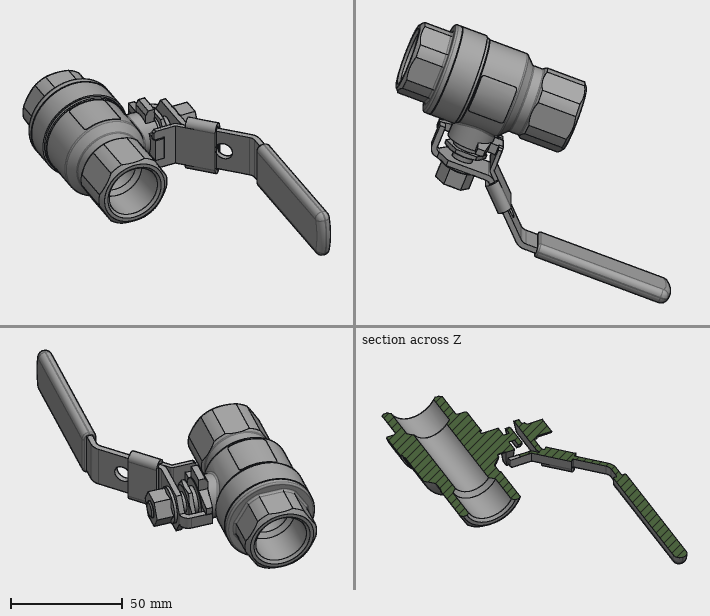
import cadquery as cq
import math


BODY_HALF_LENGTH = 40.0
HEX_FLATS = 32.0
HEX_CORNER_R = 17.0
HEX_FACE_R = 15.0
HEX_CHAMFER = 1.6
HEX_ROOT_FILLET = 1.0
FLANGE_R = 21.0
FLANGE_X0 = -25.0
FLANGE_X1 = -10.1
FLANGE_FILLET = 0.9
CAP_JOINT_X = -22.0
CAP_JOINT_WIDTH = 0.3
CAP_JOINT_DEPTH = 0.15
STEP_R = 20.2
STEP_X1 = -8.8
BARREL_R = 19.78
BARREL_X1 = 10.05
SHOULDER_FILLET = 1.1
NECK_R = 31.5 / 2
NECK_HEX_X = 19.1
NECK_FILLET = 0.8
BORE_R = 20.0 / 2
THREAD_R = 24.12 / 2
THREAD_DEPTH = 17.0
THREAD_MOUTH_R = 13.3

PANEL_X0 = -7.9
PANEL_X1 = 9.0
PANEL_Y0 = -9.3
PANEL_Y1 = 8.8
PANEL_RISE = 0.1
PANEL_CORNER_R = 1.2

BONNET_R = 20.0 / 2
BONNET_TOP = 27.7
BONNET_FILLET = 1.0
EAR_TOP = 27.3
EAR_BOTTOM = 22.9
GLAND_R = 12.7 / 2
GLAND_NUT_Y0 = 30.35
GLAND_NUT_Y1 = 32.8
GLAND_NUT_FLATS = 17.0
GLAND_NUT_BEVEL = 0.6
STEM_R = 9.5 / 2
STEM_THREAD_R = 8.04 / 2
STEM_TOP = 49.0
STEM_CHAMFER = 0.7
NUT_FLATS = 14.0
NUT_TOP = 48.1
NUT_FLANGE_R = 17.0 / 2
NUT_FLANGE_THICKNESS = 1.3
NUT_CONE_HEIGHT = 0.8

FRONT_EAR_HALF_WIDTH = 5.0
FRONT_EAR_REACH = 15.2
FRONT_EAR_CHAMFER_Y = 1.3
FRONT_EAR_CHAMFER_Z = 2.2
SIDE_EAR_REACH = 14.8
SIDE_EAR_HALF_WIDTH = 5.4
STOP_EAR_REACH = 15.4
STOP_EAR_TIP_WIDTH = 6.6
STOP_EAR_ROOT_WIDTH = 8.9
STOP_EAR_TIP_BOTTOM = 24.4

LEVER_THICKNESS = 2.6
LEVER_WIDTH = 20.4
LEVER_BOTTOM = 36.0
LEVER_TOP_FLAT_Y = 61.25
LEVER_SLOPE_OFFSET = 23.25
LEVER_LOW_BEND_R = 2.0
LEVER_HIGH_BEND_R = 4.0
LEG_X = -15.1
LEG_WIDTH = 6.0
LEG_BOTTOM = 24.2
LEG_BEND_R = 1.7
LEVER_TAPER_X0 = -11.0
LEVER_TAPER_X1 = -6.6
LOCK_HOLE_D = 8.0
LOCK_HOLE_X = 27.9

SLEEVE_CENTER_X = 20.4
SLEEVE_LENGTH = 14.2
SLEEVE_WIDTH = 26.6
SLEEVE_THICKNESS = 6.4
SLEEVE_CAVITY_WIDTH = 23.0
LATCH_X0 = 12.5
LATCH_THICKNESS = 1.9
LATCH_BEND_R = 2.0
LATCH_BOTTOM = 22.3
LATCH_TIP_CHAMFER = 1.0
LATCH_SLOT_CLEARANCE = 0.3

GRIP_X0 = 45.8
GRIP_X1 = 110.0
GRIP_SIDE_X1 = 107.9
GRIP_WIDTH = 23.0
GRIP_THICKNESS = 6.5
GRIP_CORNER_R = 3.6
GRIP_EDGE_R = 3.1
GRIP_MOUTH_FILLET = 0.8


def disc(radius, y0, y1):
    """Cylinder on the stem axis between two heights."""
    return cq.Workplane("XZ", origin=(0, y0, 0)).circle(radius).extrude(y0 - y1)


def hexagon_plate(flats, y0, y1):
    """Hexagon on the stem axis with corners on the X axis."""
    corner_diameter = flats / math.cos(math.pi / 6)
    return cq.Workplane("XZ", origin=(0, y0, 0)).polygon(6, corner_diameter).extrude(y0 - y1)


def turned_about_y(points):
    """Solid of revolution on the stem axis from (radius, height) points."""
    return cq.Workplane("XY").polyline(points).close().revolve(360, (0, 0), (0, 1))


def turned_about_x(points):
    """Solid of revolution on the bore axis from (x, radius) points."""
    return cq.Workplane("XY").polyline(points).close().revolve(360, (0, 0), (1, 0))


def rings_at(x):
    """Selector for edges around the bore axis that lie in the plane at x."""
    near = 0.1
    reach = FLANGE_R - FLANGE_FILLET - near
    return cq.selectors.BoxSelector((x - near, -reach, -reach), (x + near, reach, reach))


def slab(points, width):
    """XY outline extruded symmetrically about Z = 0."""
    return cq.Workplane("XY").polyline(points).close().extrude(width / 2, both=True)


def hex_end(x0, x1, chamfer_x0):
    """Turned hexagonal pipe end; chamfer_x0 also chamfers the x0 end down to the neck."""
    profile = [(x0, 0)]
    if chamfer_x0:
        profile += [(x0, NECK_R), (x0 + HEX_CORNER_R - NECK_R, HEX_CORNER_R)]
    else:
        profile += [(x0, HEX_CORNER_R)]
    profile += [(x1 - HEX_CHAMFER, HEX_CORNER_R), (x1, HEX_FACE_R), (x1, 0)]
    turned = turned_about_x(profile)
    corner_diameter = HEX_FLATS / math.cos(math.pi / 6)
    prism = cq.Workplane("YZ", origin=(x0, 0, 0)).polygon(6, corner_diameter).extrude(x1 - x0)
    return turned.intersect(prism)


def make_barrel():
    """Barrel, shoulder and neck with the stem bonnet blended in."""
    shoulder_x1 = BARREL_X1 + BARREL_R - NECK_R
    barrel = turned_about_x([
        (FLANGE_X0, 0),
        (FLANGE_X0, BARREL_R),
        (BARREL_X1, BARREL_R),
        (shoulder_x1, NECK_R),
        (NECK_HEX_X, NECK_R),
        (NECK_HEX_X, 0),
    ])
    barrel = barrel.edges(rings_at(BARREL_X1)).fillet(SHOULDER_FILLET)
    barrel = barrel.edges(rings_at(shoulder_x1)).fillet(NECK_FILLET)
    barrel = barrel.union(disc(BONNET_R, 0, BONNET_TOP))
    margin = 0.2
    reach = BONNET_R + margin
    bonnet_root = cq.selectors.BoxSelector(
        (-reach, BONNET_R, -reach),
        (reach, BARREL_R + margin, reach),
        boundingbox=True,
    )
    return barrel.edges(bonnet_root).fillet(BONNET_FILLET)


def make_body():
    """Pipe body with screwed cap flange and both hexagonal ends."""
    flange = turned_about_x([
        (FLANGE_X0, 0),
        (FLANGE_X0, FLANGE_R),
        (FLANGE_X1, FLANGE_R),
        (FLANGE_X1, STEP_R),
        (STEP_X1, STEP_R),
        (STEP_X1 + STEP_R - BARREL_R, BARREL_R),
        (STEP_X1 + STEP_R - BARREL_R, 0),
    ])
    flange = flange.faces("<X").edges().fillet(FLANGE_FILLET)
    joint = (
        cq.Workplane("YZ", origin=(CAP_JOINT_X, 0, 0))
        .circle(FLANGE_R + 1)
        .circle(FLANGE_R - CAP_JOINT_DEPTH)
        .extrude(CAP_JOINT_WIDTH)
    )
    flange = flange.cut(joint)

    left_hex = hex_end(-FLANGE_X0, BODY_HALF_LENGTH, False).mirror("YZ")
    body = flange.union(left_hex)
    body = body.edges(rings_at(FLANGE_X0)).fillet(HEX_ROOT_FILLET)
    body = body.union(make_barrel()).union(hex_end(NECK_HEX_X, BODY_HALF_LENGTH, True))
    return body.edges(rings_at(NECK_HEX_X)).fillet(NECK_FILLET)


def add_panels(body):
    """Thin raised label panels that follow the barrel surface."""
    outline = (
        cq.Workplane("XY")
        .center((PANEL_X0 + PANEL_X1) / 2, (PANEL_Y0 + PANEL_Y1) / 2)
        .rect(PANEL_X1 - PANEL_X0, PANEL_Y1 - PANEL_Y0)
        .extrude(FLANGE_R, both=True)
        .edges("|Z")
        .fillet(PANEL_CORNER_R)
    )
    skin = (
        cq.Workplane("YZ", origin=(PANEL_X0, 0, 0))
        .circle(BARREL_R + PANEL_RISE)
        .extrude(PANEL_X1 - PANEL_X0)
    )
    return body.union(outline.intersect(skin))


def cut_bore(body):
    """Through bore with a plain thread bore, 45 degree floor and chamfered mouth at each end."""
    mouth_depth = THREAD_MOUTH_R - THREAD_R
    half_profile = [
        (0, 0),
        (0, BORE_R),
        (BODY_HALF_LENGTH - THREAD_DEPTH - THREAD_R + BORE_R, BORE_R),
        (BODY_HALF_LENGTH - THREAD_DEPTH, THREAD_R),
        (BODY_HALF_LENGTH - mouth_depth, THREAD_R),
        (BODY_HALF_LENGTH, THREAD_MOUTH_R),
        (BODY_HALF_LENGTH, 0),
    ]
    half = turned_about_x(half_profile)
    return body.cut(half).cut(half.mirror("YZ"))


def make_ears():
    """Four stop ears: +Z, +X and two tapered ones beside the -X and -Z directions."""
    front = (
        cq.Workplane("YZ")
        .polyline([
            (EAR_TOP, BONNET_R / 2),
            (EAR_TOP, FRONT_EAR_REACH),
            (EAR_BOTTOM + FRONT_EAR_CHAMFER_Y, FRONT_EAR_REACH),
            (EAR_BOTTOM, FRONT_EAR_REACH - FRONT_EAR_CHAMFER_Z),
            (EAR_BOTTOM, BONNET_R / 2),
        ])
        .close()
        .extrude(FRONT_EAR_HALF_WIDTH, both=True)
    )
    side = slab(
        [
            (BONNET_R / 2, EAR_BOTTOM),
            (SIDE_EAR_REACH, EAR_BOTTOM),
            (SIDE_EAR_REACH, EAR_TOP),
            (BONNET_R / 2, EAR_TOP),
        ],
        2 * SIDE_EAR_HALF_WIDTH,
    )
    root = BONNET_R / 2
    inner = LEG_WIDTH / 2
    plan = (
        cq.Workplane("XZ", origin=(0, EAR_BOTTOM, 0))
        .polyline([
            (-root, inner),
            (-STOP_EAR_REACH, inner),
            (-STOP_EAR_REACH, STOP_EAR_TIP_WIDTH),
            (-root, STOP_EAR_ROOT_WIDTH),
        ])
        .close()
        .extrude(EAR_BOTTOM - EAR_TOP)
    )
    elevation = slab(
        [
            (-root, EAR_TOP),
            (-STOP_EAR_REACH, EAR_TOP),
            (-STOP_EAR_REACH, STOP_EAR_TIP_BOTTOM),
            (-root, EAR_BOTTOM),
        ],
        2 * STOP_EAR_REACH,
    )
    left = plan.intersect(elevation)
    rear = left.rotate((0, 0, 0), (0, 1, 0), 90).mirror("XY")
    return front.union(side).union(left).union(rear)


def make_stem():
    """Gland, gland nut, stem, flanged lever nut and thread end."""
    gland_cap = turned_about_y([
        (0, GLAND_NUT_Y0),
        (GLAND_NUT_FLATS, GLAND_NUT_Y0),
        (GLAND_NUT_FLATS / 2 + GLAND_NUT_BEVEL, GLAND_NUT_Y1 - GLAND_NUT_BEVEL),
        (GLAND_NUT_FLATS / 2 - GLAND_NUT_BEVEL, GLAND_NUT_Y1),
        (0, GLAND_NUT_Y1),
    ])
    gland_nut = hexagon_plate(GLAND_NUT_FLATS, GLAND_NUT_Y0, GLAND_NUT_Y1).intersect(gland_cap)
    seat = LEVER_BOTTOM + LEVER_THICKNESS
    cone_start = seat + NUT_FLANGE_THICKNESS
    cone_end = cone_start + NUT_CONE_HEIGHT
    flange = turned_about_y([
        (0, seat),
        (NUT_FLANGE_R, seat),
        (NUT_FLANGE_R, cone_start),
        (NUT_FLATS / 2, cone_end),
        (0, cone_end),
    ])
    thread = disc(STEM_THREAD_R, seat, STEM_TOP).faces(">Y").chamfer(STEM_CHAMFER)
    return (
        disc(GLAND_R, BONNET_TOP, GLAND_NUT_Y0)
        .union(gland_nut)
        .union(disc(STEM_R, GLAND_NUT_Y1, LEVER_BOTTOM))
        .union(flange)
        .union(hexagon_plate(NUT_FLATS, cone_start, NUT_TOP))
        .union(thread)
    )


def bend(part, x, y, radius):
    """Round the Z-parallel edge that passes through (x, y)."""
    near = 0.2
    box = cq.selectors.BoxSelector(
        (x - near, y - near, -GRIP_WIDTH),
        (x + near, y + near, GRIP_WIDTH),
    )
    return part.edges(box).fillet(radius)


def slope_plane(x, normal):
    """Plane centred on the sloping mid-plane of the lever, with its local x along Z."""
    return cq.Plane(origin=(x, x + LEVER_SLOPE_OFFSET, 0), xDir=(0, 0, 1), normal=normal)


def make_lever():
    """Bent strip: stop leg, flat on the stem, 45 degree rise and straight arm."""
    t = LEVER_THICKNESS
    rise = t / 2 * math.sqrt(2)
    upper = LEVER_SLOPE_OFFSET + rise
    lower = LEVER_SLOPE_OFFSET - rise
    flat_top = LEVER_BOTTOM + t
    arm_top = LEVER_TOP_FLAT_Y + t / 2
    arm_bottom = LEVER_TOP_FLAT_Y - t / 2
    arm_end = GRIP_X0 + GRIP_THICKNESS
    strip = slab(
        [
            (LEG_X, LEG_BOTTOM),
            (LEG_X + t, LEG_BOTTOM),
            (LEG_X + t, LEVER_BOTTOM),
            (LEVER_BOTTOM - lower, LEVER_BOTTOM),
            (arm_bottom - lower, arm_bottom),
            (arm_end, arm_bottom),
            (arm_end, arm_top),
            (arm_top - upper, arm_top),
            (flat_top - upper, flat_top),
            (LEG_X, flat_top),
        ],
        LEVER_WIDTH,
    )
    bends = [
        (LEG_X + t, LEVER_BOTTOM, LEG_BEND_R),
        (LEG_X, flat_top, LEG_BEND_R + t),
        (LEVER_BOTTOM - lower, LEVER_BOTTOM, LEVER_LOW_BEND_R + t),
        (flat_top - upper, flat_top, LEVER_LOW_BEND_R),
        (arm_bottom - lower, arm_bottom, LEVER_HIGH_BEND_R),
        (arm_top - upper, arm_top, LEVER_HIGH_BEND_R + t),
    ]
    for x, y, radius in bends:
        strip = bend(strip, x, y, radius)

    half_leg = LEG_WIDTH / 2
    half_width = LEVER_WIDTH / 2
    plan = (
        cq.Workplane("XZ")
        .polyline([
            (LEG_X, -half_leg),
            (LEVER_TAPER_X0, -half_leg),
            (LEVER_TAPER_X1, -half_width),
            (arm_end, -half_width),
            (arm_end, half_width),
            (LEVER_TAPER_X1, half_width),
            (LEVER_TAPER_X0, half_leg),
            (LEG_X, half_leg),
        ])
        .close()
        .extrude(-arm_top)
    )
    hole = (
        cq.Workplane(slope_plane(LOCK_HOLE_X, (-1, 1, 0)))
        .circle(LOCK_HOLE_D / 2)
        .extrude(SLEEVE_THICKNESS, both=True)
    )
    return strip.intersect(plan).cut(hole)


def make_lock():
    """Stadium sleeve around the sloping lever with a forked latch hanging below it."""
    along = slope_plane(SLEEVE_CENTER_X, (1, 1, 0))
    half_length = SLEEVE_LENGTH / 2
    sleeve = cq.Workplane(along).slot2D(SLEEVE_WIDTH, SLEEVE_THICKNESS).extrude(half_length, both=True)
    cavity = (
        cq.Workplane(along)
        .slot2D(SLEEVE_CAVITY_WIDTH, LEVER_THICKNESS)
        .extrude(half_length, both=True)
    )

    top_line = LEVER_SLOPE_OFFSET - LEVER_THICKNESS / math.sqrt(2)
    bottom_line = top_line - LATCH_THICKNESS * math.sqrt(2)
    latch_x1 = LATCH_X0 + LATCH_THICKNESS
    reach = SLEEVE_CENTER_X
    latch = slab(
        [
            (LATCH_X0, LATCH_BOTTOM),
            (latch_x1, LATCH_BOTTOM),
            (latch_x1, latch_x1 + bottom_line),
            (reach, reach + bottom_line),
            (reach, reach + top_line),
            (LATCH_X0, LATCH_X0 + top_line),
        ],
        LEVER_WIDTH,
    )
    latch = bend(latch, LATCH_X0, LATCH_X0 + top_line, LATCH_BEND_R)
    latch = latch.faces("<Y").edges("|X").chamfer(LATCH_TIP_CHAMFER)
    slot_top = EAR_TOP + LATCH_SLOT_CLEARANCE
    slot = cq.Workplane("XY").box(
        BONNET_R,
        2 * (slot_top - LATCH_BOTTOM),
        2 * (SIDE_EAR_HALF_WIDTH + LATCH_SLOT_CLEARANCE),
    ).translate((LATCH_X0, LATCH_BOTTOM, 0))
    return sleeve.cut(cavity).union(latch.cut(slot))


def make_grip():
    """Flat grip with rounded edges and a bowed far end."""
    half_width = GRIP_WIDTH / 2
    bottom = LEVER_TOP_FLAT_Y - GRIP_THICKNESS / 2
    grip = (
        cq.Workplane("XZ", origin=(0, bottom, 0))
        .moveTo(GRIP_X0, -half_width)
        .lineTo(GRIP_SIDE_X1, -half_width)
        .threePointArc((GRIP_X1, 0), (GRIP_SIDE_X1, half_width))
        .lineTo(GRIP_X0, half_width)
        .close()
        .extrude(-GRIP_THICKNESS)
    )
    far_corners = cq.selectors.BoxSelector(
        (GRIP_SIDE_X1 - 1, bottom, -GRIP_WIDTH),
        (GRIP_X1, bottom + GRIP_THICKNESS, GRIP_WIDTH),
    )
    grip = grip.edges(far_corners).edges("|Y").fillet(GRIP_CORNER_R)
    grip = grip.faces("<Y or >Y").edges("not <X").fillet(GRIP_EDGE_R)
    return grip.faces("<X").edges().fillet(GRIP_MOUTH_FILLET)


result = cut_bore(add_panels(make_body()))
for piece in (make_ears(), make_stem(), make_lever(), make_lock(), make_grip()):
    result = result.union(piece)